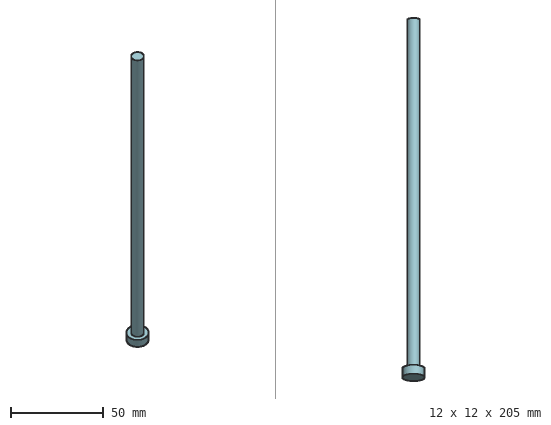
import cadquery as cq

total_length = 205
head_diameter = 12.0
head_height = 5.1
shaft_diameter = 7.0

head = cq.Workplane("XY").circle(head_diameter / 2).extrude(head_height)
shaft = cq.Workplane("XY").circle(shaft_diameter / 2).extrude(total_length)

result = head.union(shaft)